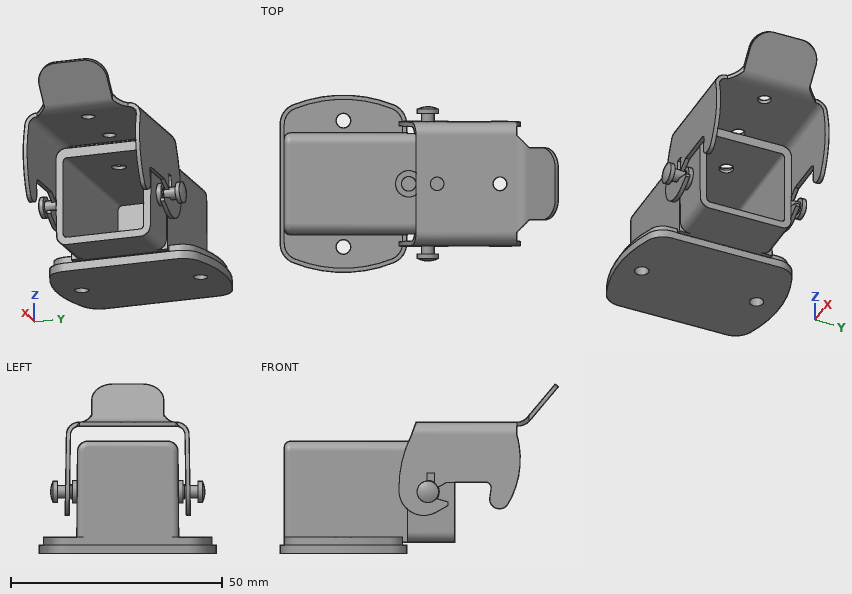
import cadquery as cq
import math


flange_length = 30.0
flange_width = 42.0
flange_bow_radius = 32.0
flange_corner_radius = 5.0
flange_step = 1.0
lower_plate_thickness = 2.05
upper_plate_thickness = 1.85
flange_hole_diameter = 3.4
flange_hole_offset = 14.95

block_front_x = -flange_length / 2 + flange_step
block_rear_x = 15.15
block_bottom_half_width = 12.1
tail_half_width = 11.93
tail_bottom_half_width = 11.75
tail_end_x = 26.4
tail_bottom_z = 2.65
housing_top_z = 26.65
housing_long_edge_radius = 2.45
housing_front_edge_radius = 1.45

wall_thickness = 1.8
roof_thickness = 2.4
cavity_corner_radius = 1.0

screw_x = 15.47
counterbore_diameter = 6.25
counterbore_depth = 1.6
screw_hole_diameter = 3.45

pin_x = 20.0
pin_z = 14.65
collar_diameter = 5.4
collar_end_y = 13.1
shoulder_diameter = 3.4
shoulder_end_y = 13.4
shank_diameter = 3.05
head_start_y = 16.6
head_diameter = 5.1
head_rim_end_y = 17.65
head_tip_y = 18.28

sheet_thickness = 1.0
lever_top_z = 31.15
lever_top_start_x = 17.2
lever_bend_front_x = 16.1
lever_top_end_x = 41.085
lever_half_width = 14.5
lever_leg_splay = 0.35
lever_bend_radius = 3.05
lever_bottom_z = 9.05
lever_hole_diameter = 3.2
lever_hole_xs = (22.2, 37.07)

leg_edge_z = 16.9
eye_radius = 5.9
eye_x = 19.05
eye_z = lever_bottom_z + eye_radius
eye_tail_angle = math.radians(-60)
front_bulge_point = (13.9, 22.0)
rear_bulge_point = (41.8, 20.4)
hook_back_point = (38.95, 11.7)
hook_radius = 2.35
hook_x = 36.95
hook_z = 12.95
hook_throat_radius = 1.3
hook_throat_x = 33.65
mouth_outer_x = 24.5
mouth_upper_point = (pin_x + 1.2, pin_z + 0.4)
mouth_lower_point = (pin_x + 0.8, pin_z - 1.2)
jaw_tip_x = 24.8
jaw_tip_top_z = 12.2
jaw_tip_bottom_z = 11.4
relief_start_x = 19.85
relief_end_x = 21.55
relief_top_z = 19.1

tab_angle = math.radians(50)
tab_bend_radius = 3.2
tab_length = 10.29
tab_tip_x = (
    lever_top_end_x
    + (tab_bend_radius + sheet_thickness) * math.sin(tab_angle)
    + tab_length * math.cos(tab_angle)
)
tab_width = 17.1
tab_corner_radius = 5.0


def flange_plate(inset, bottom_z, thickness):
    """Plate with straight -X/+X sides and bowed -Y/+Y sides, corners rounded tangentially."""
    half_length = flange_length / 2 - inset
    half_width = flange_width / 2 - inset
    bow_radius = flange_bow_radius - inset
    bow_sagitta = bow_radius - math.sqrt(bow_radius**2 - half_length**2)
    corner_y = half_width - bow_sagitta
    return (
        cq.Workplane("XY", origin=(0, 0, bottom_z))
        .moveTo(-half_length, -corner_y)
        .threePointArc((0, -half_width), (half_length, -corner_y))
        .lineTo(half_length, corner_y)
        .threePointArc((0, half_width), (-half_length, corner_y))
        .close()
        .extrude(thickness)
        .edges("|Z")
        .fillet(flange_corner_radius - inset)
    )


def make_flange():
    lower = flange_plate(0, 0, lower_plate_thickness)
    upper = flange_plate(flange_step, lower_plate_thickness, upper_plate_thickness)
    hole_positions = [(0, -flange_hole_offset), (0, flange_hole_offset)]
    holes = (
        cq.Workplane("XY")
        .pushPoints(hole_positions)
        .circle(flange_hole_diameter / 2)
        .extrude(lower_plate_thickness + upper_plate_thickness)
    )
    return lower.union(upper).cut(holes)


def housing_section(start_x, end_x, lower_side):
    """Length of housing with a rounded top; lower_side lists (half width, Z) up to the rounding."""
    shoulder_z = housing_top_z - housing_long_edge_radius
    roof_half_width = tail_half_width - housing_long_edge_radius
    right_side = lower_side + [(tail_half_width, shoulder_z)]
    left_side = [(-y, z) for y, z in right_side]
    return (
        cq.Workplane("YZ", origin=(start_x, 0, 0))
        .polyline(left_side[::-1] + right_side)
        .radiusArc((roof_half_width, housing_top_z), -housing_long_edge_radius)
        .lineTo(-roof_half_width, housing_top_z)
        .radiusArc(left_side[-1], -housing_long_edge_radius)
        .close()
        .extrude(end_x - start_x)
    )


def make_block():
    """Main block: sides flare towards the flange, front edges rounded."""
    lower_side = [(block_bottom_half_width, tail_bottom_z)]
    block = housing_section(block_front_x, block_rear_x, lower_side)
    return block.faces("<X").edges("not <Z").fillet(housing_front_edge_radius)


def make_tail():
    """Overhanging tail: below pin height its sides draw in towards the rounded bottom edges."""
    tail_start_x = (block_front_x + block_rear_x) / 2
    lower_side = [(tail_bottom_half_width, tail_bottom_z), (tail_half_width, pin_z)]
    tail = housing_section(tail_start_x, tail_end_x, lower_side)
    return tail.edges("|X and <Z").fillet(housing_long_edge_radius)


def make_pivot_pin():
    """Collar, shoulder, shank and domed head turned about the pivot axis, on the +Y side."""
    root_y = tail_half_width - wall_thickness / 2
    head_radius = head_diameter / 2
    dome_height = head_tip_y - head_rim_end_y
    dome_radius = (head_radius**2 + dome_height**2) / (2 * dome_height)
    pin = (
        cq.Workplane("XY")
        .moveTo(0, root_y)
        .lineTo(collar_diameter / 2, root_y)
        .lineTo(collar_diameter / 2, collar_end_y)
        .lineTo(shoulder_diameter / 2, collar_end_y)
        .lineTo(shoulder_diameter / 2, shoulder_end_y)
        .lineTo(shank_diameter / 2, shoulder_end_y)
        .lineTo(shank_diameter / 2, head_start_y)
        .lineTo(head_radius, head_start_y)
        .lineTo(head_radius, head_rim_end_y)
        .radiusArc((0, head_tip_y), -dome_radius)
        .close()
        .revolve(360, (0, 0), (0, 1))
    )
    return pin.translate((pin_x, 0, pin_z))


def make_screw_hole():
    counterbore = cq.Workplane("XY").circle(counterbore_diameter / 2).extrude(-counterbore_depth)
    hole = cq.Workplane("XY").circle(screw_hole_diameter / 2).extrude(-roof_thickness)
    return counterbore.union(hole).translate((screw_x, 0, housing_top_z))


def make_cavity():
    """Rounded box behind the front wall, running out through the tail end."""
    start_x = block_front_x + wall_thickness
    floor_z = tail_bottom_z + wall_thickness
    return (
        cq.Workplane("XY", origin=(start_x, 0, floor_z))
        .box(
            tail_end_x - start_x,
            2 * (tail_half_width - wall_thickness),
            housing_top_z - roof_thickness - floor_z,
            centered=(False, True, False),
        )
        .edges("|X")
        .fillet(cavity_corner_radius)
    )


def make_housing():
    housing = make_flange().union(make_block()).union(make_tail())
    pin = make_pivot_pin()
    housing = housing.union(pin).union(pin.mirror("XZ"))
    return housing.cut(make_cavity()).cut(make_screw_hole())


def channel_block(inset):
    """Solid along X whose sides splay outward towards the bottom, with rounded top edges."""
    top_half = lever_half_width - inset
    bottom_half = top_half + lever_leg_splay
    return (
        cq.Workplane("YZ")
        .moveTo(-bottom_half, lever_bottom_z)
        .lineTo(bottom_half, lever_bottom_z)
        .lineTo(top_half, lever_top_z - inset)
        .lineTo(-top_half, lever_top_z - inset)
        .close()
        .extrude(tab_tip_x)
        .edges("|X and >Z")
        .fillet(lever_bend_radius - inset)
    )


def lever_side_outline():
    """Side shape of the lever: pivot eye with a jaw at the front, latching hook at the rear."""
    bend_z = lever_top_z - lever_bend_radius
    eye_tail_x = eye_x + eye_radius * math.cos(eye_tail_angle)
    eye_tail_z = eye_z + eye_radius * math.sin(eye_tail_angle)
    outline = (
        cq.Workplane("XZ")
        .moveTo(lever_top_start_x, lever_top_z)
        .lineTo(lever_top_end_x, lever_top_z)
        .lineTo(lever_top_end_x, bend_z)
        .threePointArc(rear_bulge_point, hook_back_point)
        .threePointArc((hook_x, hook_z - hook_radius), (hook_x - hook_radius, hook_z))
        .lineTo(hook_throat_x + hook_throat_radius, leg_edge_z - hook_throat_radius)
        .radiusArc((hook_throat_x, leg_edge_z), -hook_throat_radius)
        .lineTo(mouth_outer_x, leg_edge_z)
        .lineTo(*mouth_upper_point)
        .lineTo(*mouth_lower_point)
        .lineTo(jaw_tip_x, jaw_tip_top_z)
        .lineTo(jaw_tip_x, jaw_tip_bottom_z)
        .lineTo(eye_tail_x, eye_tail_z)
        .threePointArc((eye_x, lever_bottom_z), (eye_x - eye_radius, eye_z))
        .threePointArc(front_bulge_point, (lever_bend_front_x, bend_z))
        .close()
    )
    return outline.extrude(lever_half_width * 2, both=True)


def make_front_edge_trim():
    """Squares off the front of the top sheet and eases the cut across the bends into the legs."""
    bend_z = lever_top_z - lever_bend_radius
    flat_half = lever_half_width - lever_bend_radius
    inner_half = lever_half_width - sheet_thickness
    return (
        cq.Workplane("XY", origin=(0, 0, bend_z))
        .moveTo(lever_top_start_x, -flat_half)
        .lineTo(lever_top_start_x, flat_half)
        .lineTo(lever_bend_front_x, inner_half)
        .lineTo(lever_bend_front_x, -inner_half)
        .close()
        .extrude(lever_bend_radius)
    )


def make_leg_openings():
    """Pin hole and the relief slot rising from it, through both legs."""
    hole = (
        cq.Workplane("XZ")
        .center(pin_x, pin_z)
        .circle(shank_diameter / 2)
        .extrude(lever_half_width * 2, both=True)
    )
    slot = (
        cq.Workplane("XZ")
        .moveTo(relief_start_x, pin_z)
        .lineTo(relief_end_x, pin_z)
        .lineTo(relief_end_x, relief_top_z)
        .lineTo(relief_start_x, relief_top_z)
        .close()
        .extrude(lever_half_width * 2, both=True)
    )
    return hole.union(slot)


def make_tab():
    root_half = lever_half_width - lever_bend_radius
    centre_z = lever_top_z + tab_bend_radius
    lower_radius = tab_bend_radius + sheet_thickness

    def bend_point(radius, angle):
        return (lever_top_end_x + radius * math.sin(angle), centre_z - radius * math.cos(angle))

    run = tab_length * math.cos(tab_angle)
    rise = tab_length * math.sin(tab_angle)
    upper_end = bend_point(tab_bend_radius, tab_angle)
    lower_end = bend_point(lower_radius, tab_angle)
    strip = (
        cq.Workplane("XZ")
        .moveTo(*bend_point(tab_bend_radius, 0))
        .threePointArc(bend_point(tab_bend_radius, tab_angle / 2), upper_end)
        .lineTo(upper_end[0] + run, upper_end[1] + rise)
        .lineTo(lower_end[0] + run, lower_end[1] + rise)
        .lineTo(*lower_end)
        .threePointArc(bend_point(lower_radius, tab_angle / 2), bend_point(lower_radius, 0))
        .close()
        .extrude(root_half, both=True)
    )
    flare = root_half - tab_width / 2
    plan = (
        cq.Workplane("XY")
        .moveTo(lever_top_end_x, -root_half)
        .lineTo(lever_top_end_x + flare, -tab_width / 2)
        .lineTo(tab_tip_x, -tab_width / 2)
        .lineTo(tab_tip_x, tab_width / 2)
        .lineTo(lever_top_end_x + flare, tab_width / 2)
        .lineTo(lever_top_end_x, root_half)
        .close()
        .extrude(2 * lever_top_z)
    )
    through_sheet = cq.Vector(-math.sin(tab_angle), 0, math.cos(tab_angle))
    tip_corners = cq.selectors.ParallelDirSelector(through_sheet)
    return strip.intersect(plan).edges(tip_corners).edges(">X").fillet(tab_corner_radius)


def make_lever():
    channel = channel_block(0).cut(channel_block(sheet_thickness))
    lever = channel.intersect(lever_side_outline()).cut(make_leg_openings())
    top_holes = (
        cq.Workplane("XY", origin=(0, 0, lever_top_z - sheet_thickness))
        .pushPoints([(x, 0) for x in lever_hole_xs])
        .circle(lever_hole_diameter / 2)
        .extrude(sheet_thickness)
    )
    lever = lever.cut(make_front_edge_trim())
    return lever.cut(top_holes).union(make_tab())


housing = make_housing()
lever = make_lever()
result = cq.Compound.makeCompound([housing.solids().val(), lever.solids().val()])